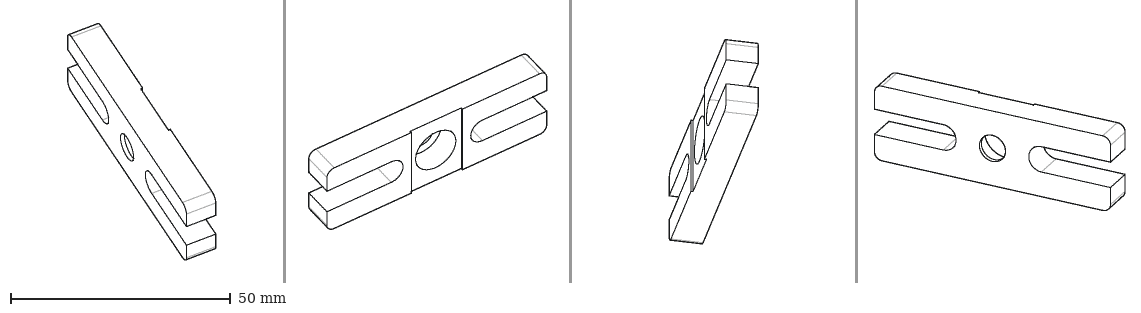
import cadquery as cq

length = 60.0
thickness = 7.5
height = 19.0
corner_radius = 2.0

slot_width = 6.4
slot_depth = 20.75
hole_diameter = 6.6

counterbore_diameter = 11.0
web_thickness = 1.0

groove_width = 14.0
groove_depth = 0.5


def end_slot(side):
    """Round-bottomed slot open at the end of the plate; side is -1 or +1."""
    return (
        cq.Workplane("XZ")
        .center(side * length / 2, 0)
        .slot2D(2 * slot_depth, slot_width)
        .extrude(thickness, both=True)
    )


plate = cq.Workplane("XY").box(length, thickness, height)
plate = plate.edges("|Y").fillet(corner_radius)

for side in (-1, 1):
    plate = plate.cut(end_slot(side))

hole = cq.Workplane("XZ").circle(hole_diameter / 2).extrude(thickness, both=True)
plate = plate.cut(hole)

counterbore = (
    cq.Workplane("XZ", origin=(0, web_thickness - thickness / 2, 0))
    .circle(counterbore_diameter / 2)
    .extrude(-thickness)
)
plate = plate.cut(counterbore)

groove = (
    cq.Workplane("XY")
    .box(groove_width, 2 * groove_depth, height)
    .translate((0, thickness / 2, 0))
)
result = plate.cut(groove)